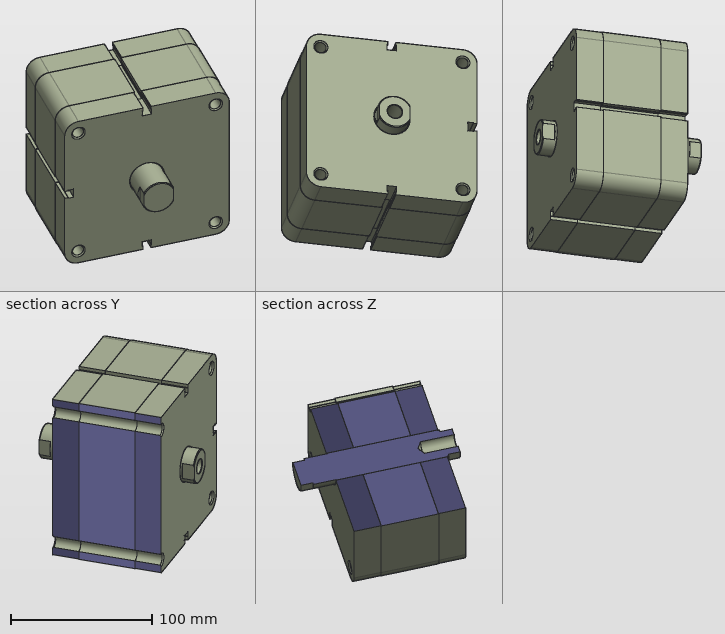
import cadquery as cq
import math

barrel_side = 124.0
cap_side = 123.5
barrel_length = 42.4
cap_length = 19.8
bolt_offset = 51.5
bolt_hole_diameter = 8.2
bolt_hole_chamfer = 1.0

slot_floor = 55.0
cap_slot_mouth = 6.0
cap_slot_width = 7.0
cap_slot_lip = 2.7
barrel_slot_mouth = 4.8
barrel_slot_width = 6.0
barrel_slot_lip = 4.0
slot_angles = (0, 90, 180)

rod_diameter = 25.0
rod_left_reach = 9.9
rod_right_reach = 25.0
rod_chamfer = 0.6
rod_opening_chamfer = 0.6
flat_spacing = 22.1
flat_length = 8.8
bore_diameter = 10.5
bore_depth = 24.8
bore_chamfer = 0.4
drill_point_angle = 118.0

barrel_end = barrel_length / 2
block_end = barrel_end + cap_length
rod_start = -block_end - rod_left_reach
rod_end = block_end + rod_right_reach
rod_length = rod_end - rod_start

bolt_positions = [(y, z) for y in (-bolt_offset, bolt_offset) for z in (-bolt_offset, bolt_offset)]


def cylinder(diameter, start, length, y=0, z=0):
    """Cylinder along +X from x = start."""
    return cq.Workplane("YZ", origin=(start, y, z)).circle(diameter / 2).extrude(length)


def cone(diameter, height, start, direction, y=0, z=0):
    """Cone along X that narrows from diameter at start to a point."""
    solid = cq.Solid.makeCone(
        diameter / 2, 0, height, pnt=cq.Vector(start, y, z), dir=cq.Vector(direction, 0, 0)
    )
    return cq.Workplane(obj=solid)


def countersink(hole_diameter, chamfer, start, direction, y=0, z=0):
    """45-degree chamfer tool for a hole that opens at x = start and runs along direction."""
    mouth = hole_diameter + 2 * chamfer
    return cone(mouth, mouth / 2, start, direction, y, z)


def t_slot(side, mouth, width, lip, start, length):
    """T slot running along X in the top face of a square section."""
    half_side = side / 2
    half_mouth = mouth / 2
    half_width = width / 2
    shoulder = half_side - lip
    return (
        cq.Workplane("YZ", origin=(start, 0, 0))
        .moveTo(-half_mouth, half_side)
        .lineTo(-half_mouth, shoulder)
        .lineTo(-half_width, shoulder)
        .lineTo(-half_width, slot_floor)
        .lineTo(half_width, slot_floor)
        .lineTo(half_width, shoulder)
        .lineTo(half_mouth, shoulder)
        .lineTo(half_mouth, half_side)
        .close()
        .extrude(length)
    )


def block_section(side, start, length, mouth, width, lip):
    """Rounded square slab with the rod opening, four bolt holes and three T slots."""
    corner_radius = side / 2 - bolt_offset
    slab = (
        cq.Workplane("YZ", origin=(start, 0, 0))
        .rect(side, side)
        .extrude(length)
        .edges("|X")
        .fillet(corner_radius)
    )
    slab = slab.cut(cylinder(rod_diameter, start, length))
    for y, z in bolt_positions:
        slab = slab.cut(cylinder(bolt_hole_diameter, start, length, y, z))
    slot = t_slot(side, mouth, width, lip, start, length)
    for angle in slot_angles:
        slab = slab.cut(slot.rotate((0, 0, 0), (1, 0, 0), angle))
    return slab


def make_barrel():
    return block_section(
        barrel_side, -barrel_end, barrel_length, barrel_slot_mouth, barrel_slot_width, barrel_slot_lip
    )


def make_end_cap(outward):
    """End cap on the -X side (outward = -1) or the +X side (outward = 1)."""
    start = barrel_end if outward > 0 else -block_end
    outer_face = outward * block_end
    cap = block_section(cap_side, start, cap_length, cap_slot_mouth, cap_slot_width, cap_slot_lip)
    for y, z in bolt_positions:
        cap = cap.cut(countersink(bolt_hole_diameter, bolt_hole_chamfer, outer_face, -outward, y, z))
    return cap.cut(countersink(rod_diameter, rod_opening_chamfer, outer_face, -outward))


def make_rod():
    rod = cylinder(rod_diameter, rod_start, rod_length).faces("<X or >X").chamfer(rod_chamfer)

    flat_depth = (rod_diameter - flat_spacing) / 2
    flat_centre = (flat_spacing + flat_depth) / 2
    for x in (rod_start + flat_length / 2, rod_end - flat_length / 2):
        for side in (-1, 1):
            cutter = cq.Workplane("XY").box(flat_length, flat_depth, rod_diameter)
            rod = rod.cut(cutter.translate((x, side * flat_centre, 0)))

    point_height = bore_diameter / 2 / math.tan(math.radians(drill_point_angle / 2))
    rod = rod.cut(cylinder(bore_diameter, rod_start, bore_depth))
    rod = rod.cut(cone(bore_diameter, point_height, rod_start + bore_depth, 1))
    return rod.cut(countersink(bore_diameter, bore_chamfer, rod_start, 1))


barrel = make_barrel()
end_caps = [make_end_cap(outward) for outward in (-1, 1)]
rod = make_rod()

result = cq.Compound.makeCompound([barrel.val(), *[cap.val() for cap in end_caps], rod.val()])